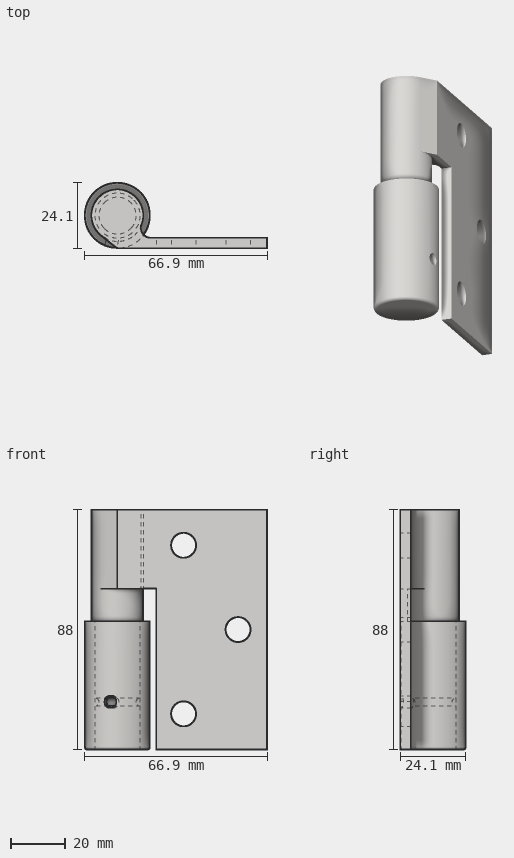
import cadquery as cq
import math


height = 88.0
housing_radius = 12.0
housing_height = 47.1
housing_fillet = 1.1
barrel_radius = 9.5
journal_radius = 8.3

leaf_right = 54.9
leaf_front = -12.1
leaf_thickness = 4.0
leaf_left = 14.3
knuckle_height = 28.95
knuckle_fillet = 3.5

screw_hole_diameter = 9.1
screw_row_x = 24.3
screw_middle_x = 44.3
screw_edge_gap = 13.1

grease_hole_diameter = 4.5
grease_hole_angle = 12.3
grease_z = 17.5
groove_radius = 1.5


def make_knuckle():
    """Web from the pin to the leaf: tangent flat in front, fillet behind."""
    leaf_back = leaf_front + leaf_thickness

    tangent_angle = math.acos(barrel_radius / -leaf_front)
    tangent_point = (-barrel_radius * math.sin(tangent_angle), -barrel_radius * math.cos(tangent_angle))

    fillet_y = leaf_back + knuckle_fillet
    center_distance = barrel_radius + knuckle_fillet
    fillet_x = math.sqrt(center_distance**2 - fillet_y**2)
    pin_share = barrel_radius / center_distance
    fillet_start = (fillet_x * pin_share, fillet_y * pin_share)
    fillet_end = (fillet_x, leaf_back)

    start_angle = math.atan2(-fillet_y, -fillet_x) - 2 * math.pi
    end_angle = -math.pi / 2
    middle_angle = (start_angle + end_angle) / 2
    fillet_middle = (
        fillet_x + knuckle_fillet * math.cos(middle_angle),
        fillet_y + knuckle_fillet * math.sin(middle_angle),
    )

    return (
        cq.Workplane("XY")
        .workplane(offset=height - knuckle_height)
        .moveTo(*tangent_point)
        .lineTo(0, leaf_front)
        .lineTo(leaf_left, leaf_front)
        .lineTo(leaf_left, leaf_back)
        .lineTo(*fillet_end)
        .threePointArc(fillet_middle, fillet_start)
        .threePointArc((0, barrel_radius), tangent_point)
        .close()
        .extrude(knuckle_height)
    )


def make_plate():
    """Flat plate beside the housing with three screw holes."""
    plate = cq.Workplane("XY").box(
        leaf_right - leaf_left, leaf_thickness, height, centered=False
    ).translate((leaf_left, leaf_front, 0))
    screw_points = [
        (screw_row_x, screw_edge_gap),
        (screw_middle_x, height / 2),
        (screw_row_x, height - screw_edge_gap),
    ]
    screw_holes = (
        cq.Workplane("XZ", origin=(0, leaf_front + leaf_thickness, 0))
        .pushPoints(screw_points)
        .circle(screw_hole_diameter / 2)
        .extrude(leaf_thickness)
    )
    return plate.cut(screw_holes)


def make_pin():
    """Stepped round pin: barrel above the housing, journal with a half-round grease groove inside."""
    barrel = (
        cq.Workplane("XY")
        .workplane(offset=housing_height)
        .circle(barrel_radius)
        .extrude(height - housing_height)
    )
    journal = cq.Workplane("XY").circle(journal_radius).extrude(housing_height)
    groove = cq.Workplane("XY").add(
        cq.Solid.makeTorus(journal_radius, groove_radius, cq.Vector(0, 0, grease_z))
    )
    return barrel.union(journal.cut(groove))


def make_leaf():
    """Leaf and pin in one piece."""
    return make_pin().union(make_knuckle()).union(make_plate())


def make_housing():
    """Tube around the lower part of the pin, with a radial grease hole."""
    housing = (
        cq.Workplane("XY")
        .circle(housing_radius)
        .extrude(housing_height)
        .faces("<Z")
        .edges()
        .fillet(housing_fillet)
    )
    bore = cq.Workplane("XY").circle(journal_radius).extrude(housing_height)
    grease_hole = (
        cq.Workplane("XZ")
        .center(0, grease_z)
        .circle(grease_hole_diameter / 2)
        .extrude(housing_radius)
        .rotate((0, 0, 0), (0, 0, 1), -grease_hole_angle)
    )
    return housing.cut(bore).cut(grease_hole)


leaf = make_leaf()
housing = make_housing()

result = cq.Compound.makeCompound([leaf.val(), housing.val()])